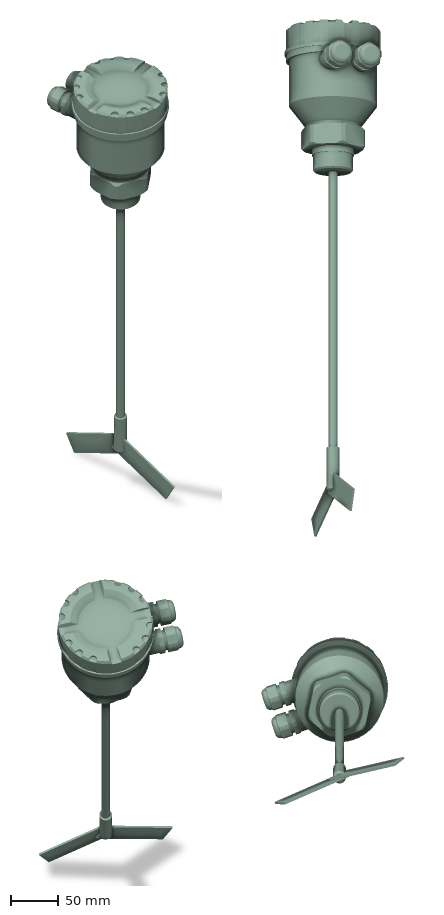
import cadquery as cq
import math

TOTAL_LENGTH = 538.5

LID_RADIUS = 50.0
LID_HEIGHT = 25.0
LID_EDGE_CHAMFER = 2.0
RECESS_TOP_RADIUS = 37.5
RECESS_FLOOR_RADIUS = 29.0
RECESS_DEPTH = 4.0
CHANNEL_WIDTH = 10.0
CHANNEL_WALL_SPREAD = 2.0
GRIP_WIDTH = 8.0
GRIP_INNER_RADIUS = 43.0
GRIP_POCKET_DEPTH = 2.5
GRIP_FLOOR_RADIUS = 49.5
GRIP_ANGLES = [20, 40, 60]
KEY_SLOT_WIDTH = 8.0
KEY_SLOT_DEPTH = 1.0

RIM_DIAMETER = 103.0
RIM_BOTTOM = -28.5
COLLAR_RADIUS = LID_RADIUS
COLLAR_BOTTOM = -35.0
BODY_RADIUS = 47.0
BODY_BOTTOM = -83.5
NECK_RADIUS = 30.0
CONE_BOTTOM = -105.5
NECK_BOTTOM = -109.0

NUT_ACROSS_FLATS = 61.5
NUT_CORNER_DIAMETER = 68.5
NUT_CHAMFER = 2.0
NUT_BOTTOM = -131.0
SHOULDER_DIAMETER = 44.5
SHOULDER_BOTTOM = -137.0
THREAD_RADIUS = 21.0
THREAD_BOTTOM = -155.0
THREAD_CHAMFER = 1.5

GLAND_Y = 16.0
GLAND_Z = -42.5
GLAND_TIP_X = -79.0
GLAND_CAP_LENGTH = 17.0
GLAND_DOME_RADIUS = 12.0
GLAND_DOME_LENGTH = 5.5
GLAND_DOME_ROUND = 5.0
GLAND_HEX_CHAMFER = 1.5
GLAND_GAP = 4.0
GLAND_RING_LENGTH = 5.5
GLAND_ACROSS_FLATS = 25.5
GLAND_CORNER_RADIUS = 13.5
GLAND_GAP_RADIUS = 11.0
GLAND_STUB_DIAMETER = 24.0

SHAFT_RADIUS = 4.6
SLEEVE_DIAMETER = 13.5
SLEEVE_TOP = -455.5
SLEEVE_BOTTOM = -502.0
SLEEVE_CHAMFER = 1.5
BLADE_LENGTH = 81.0
BLADE_WIDTH = 24.0
BLADE_THICKNESS = 2.0
BLADE_TILT = 26.0
BLADE_REACH = 72.5


def cylinder(radius, top, bottom):
    return cq.Workplane("XY").workplane(offset=bottom).circle(radius).extrude(top - bottom)


def hexagon(plane, across_flats, length):
    corner_diameter = across_flats / math.cos(math.radians(30))
    return cq.Workplane(plane).polygon(6, corner_diameter).extrude(length)


def make_lid():
    lid = cylinder(LID_RADIUS, 0, -LID_HEIGHT).faces(">Z").chamfer(LID_EDGE_CHAMFER)
    recess_profile = [
        (0, 0),
        (RECESS_TOP_RADIUS, 0),
        (RECESS_FLOOR_RADIUS, -RECESS_DEPTH),
        (0, -RECESS_DEPTH),
    ]
    lid = lid.cut(cq.Workplane("XZ").polyline(recess_profile).close().revolve(360, (0, 0), (0, 1)))

    half_width = CHANNEL_WIDTH / 2
    channel_profile = [
        (half_width, 0),
        (half_width, -RECESS_DEPTH),
        (-half_width, -RECESS_DEPTH),
        (-half_width - CHANNEL_WALL_SPREAD, 0),
    ]
    channel = cq.Workplane("YZ").polyline(channel_profile).close().extrude(RIM_DIAMETER / 2)
    for quarter in range(4):
        lid = lid.cut(channel.rotate((0, 0, 0), (0, 0, 1), 90 * quarter))

    grip_slot = (
        cq.Workplane("XY")
        .center(LID_RADIUS, 0)
        .slot2D(2 * (LID_RADIUS - GRIP_INNER_RADIUS), GRIP_WIDTH)
        .extrude(-LID_HEIGHT)
    )
    grip = grip_slot.cut(cylinder(GRIP_FLOOR_RADIUS, -GRIP_POCKET_DEPTH, -LID_HEIGHT))
    for angle in GRIP_ANGLES:
        for direction in (angle, 180 - angle, 180 + angle, -angle):
            lid = lid.cut(grip.rotate((0, 0, 0), (0, 0, 1), direction))

    key_slot = cq.Workplane("XY").box(2 * KEY_SLOT_DEPTH, KEY_SLOT_WIDTH, 2 * LID_HEIGHT)
    return lid.cut(key_slot.translate((-LID_RADIUS, 0, 0)))


def make_housing():
    rim = cylinder(RIM_DIAMETER / 2, -LID_HEIGHT, RIM_BOTTOM)
    collar = cylinder(COLLAR_RADIUS, RIM_BOTTOM, COLLAR_BOTTOM)
    profile = [
        (0, COLLAR_BOTTOM),
        (BODY_RADIUS, COLLAR_BOTTOM),
        (BODY_RADIUS, BODY_BOTTOM),
        (NECK_RADIUS, CONE_BOTTOM),
        (NECK_RADIUS, NECK_BOTTOM),
        (0, NECK_BOTTOM),
    ]
    body = cq.Workplane("XZ").polyline(profile).close().revolve(360, (0, 0), (0, 1))
    return rim.union(collar).union(body)


def make_connection():
    nut = hexagon("XY", NUT_ACROSS_FLATS, NECK_BOTTOM - NUT_BOTTOM).translate((0, 0, NUT_BOTTOM))
    envelope = cylinder(NUT_CORNER_DIAMETER / 2, NECK_BOTTOM, NUT_BOTTOM).edges().chamfer(NUT_CHAMFER)
    shoulder = cylinder(SHOULDER_DIAMETER / 2, NUT_BOTTOM, SHOULDER_BOTTOM)
    thread = cylinder(THREAD_RADIUS, SHOULDER_BOTTOM, THREAD_BOTTOM).faces("<Z").chamfer(THREAD_CHAMFER)
    return nut.intersect(envelope).union(shoulder).union(thread)


def make_gland():
    """Cable gland along +X, with its tip at the origin and its stub reaching the Z axis of the housing."""
    ring_start = GLAND_CAP_LENGTH + GLAND_GAP
    ring_end = ring_start + GLAND_RING_LENGTH
    dome = cq.Workplane("YZ").circle(GLAND_DOME_RADIUS).extrude(GLAND_CAP_LENGTH)
    dome = dome.faces("<X").edges().fillet(GLAND_DOME_ROUND)
    hex_length = ring_end - GLAND_DOME_LENGTH
    hexes = hexagon("YZ", GLAND_ACROSS_FLATS, hex_length).rotate((0, 0, 0), (1, 0, 0), 90)
    envelope = cq.Workplane("YZ").circle(GLAND_CORNER_RADIUS).extrude(hex_length)
    envelope = envelope.faces("<X").edges().chamfer(GLAND_HEX_CHAMFER)
    hexes = hexes.intersect(envelope).translate((GLAND_DOME_LENGTH, 0, 0))
    gap = (
        cq.Workplane("YZ")
        .workplane(offset=GLAND_CAP_LENGTH)
        .circle(2 * GLAND_CORNER_RADIUS)
        .circle(GLAND_GAP_RADIUS)
        .extrude(GLAND_GAP)
    )
    stub = (
        cq.Workplane("YZ")
        .workplane(offset=ring_end)
        .circle(GLAND_STUB_DIAMETER / 2)
        .extrude(-GLAND_TIP_X - ring_end)
    )
    return dome.union(hexes).cut(gap).union(stub)


def make_blade():
    """Blade on the +X side, its lowest corner at the bottom of the part and its back face at Y = 0."""
    tilt = math.radians(BLADE_TILT)
    lowest_x = BLADE_REACH - BLADE_WIDTH * math.sin(tilt)
    return (
        cq.Workplane("XY")
        .box(BLADE_LENGTH, BLADE_THICKNESS, BLADE_WIDTH, centered=False)
        .translate((-BLADE_LENGTH, -BLADE_THICKNESS, 0))
        .rotate((0, 0, 0), (0, 1, 0), BLADE_TILT)
        .translate((lowest_x, 0, -TOTAL_LENGTH))
    )


def make_shaft():
    shaft = cylinder(SHAFT_RADIUS, THREAD_BOTTOM, SLEEVE_TOP)
    sleeve = cylinder(SLEEVE_DIAMETER / 2, SLEEVE_TOP, SLEEVE_BOTTOM).faces("<Z").chamfer(SLEEVE_CHAMFER)
    blade = make_blade()
    opposite_blade = blade.rotate((0, 0, 0), (0, 0, 1), 180)
    return shaft.union(sleeve).union(blade).union(opposite_blade)


result = make_lid().union(make_housing()).union(make_connection()).union(make_shaft())
for side in (-1, 1):
    result = result.union(make_gland().translate((GLAND_TIP_X, side * GLAND_Y, GLAND_Z)))